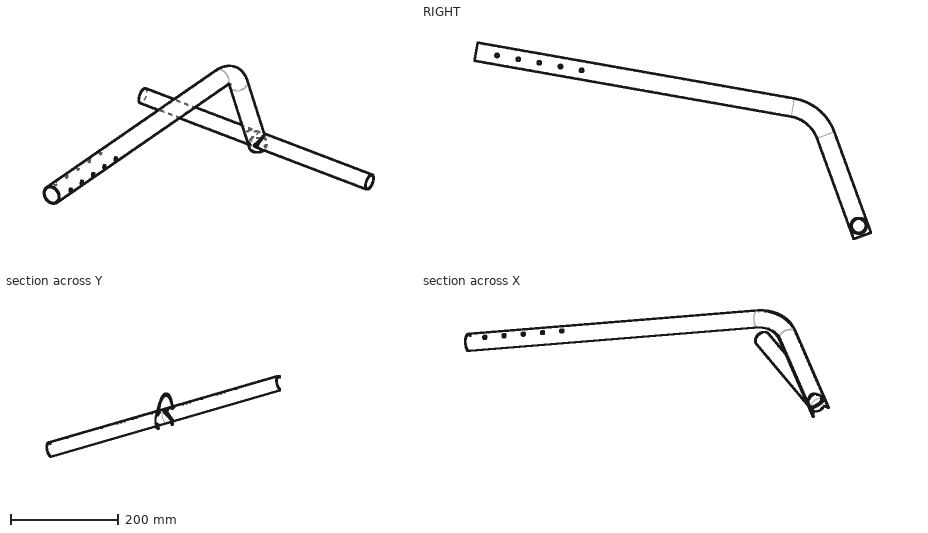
import cadquery as cq
import math

MAIN_DIAMETER = 35.0
MAIN_WALL = 2.0
LEG_LENGTH = 200.0
ARM_LENGTH = 600.0
BEND_RADIUS = 80.0
LEG_ANGLE = 70.0
ARM_ANGLE = 10.0

CROSS_DIAMETER = 30.0
CROSS_WALL = 2.0
CROSS_LENGTH = 500.0
CROSS_FROM_LEG_END = 20.0

HOLE_DIAMETER = 6.0
HOLE_COUNT = 5
HOLE_PITCH = 40.0
FIRST_HOLE_FROM_ARM_END = 40.0


def direction(angle):
    """Unit vector in the YZ plane, heading to -Y and rising by the given angle."""
    return cq.Vector(0, -math.cos(math.radians(angle)), math.sin(math.radians(angle)))


leg_direction = direction(LEG_ANGLE)
arm_direction = direction(ARM_ANGLE)
middle_direction = direction((LEG_ANGLE + ARM_ANGLE) / 2)
half_turn = math.radians(LEG_ANGLE - ARM_ANGLE) / 2
bend_chord = 2 * BEND_RADIUS * math.sin(half_turn)

leg_end = leg_direction * -CROSS_FROM_LEG_END
bend_start = leg_end + leg_direction * LEG_LENGTH
bend_end = bend_start + middle_direction * bend_chord
arm_end = bend_end + arm_direction * ARM_LENGTH


def bent_rod(diameter):
    """Solid round rod that follows the leg, the bend and the arm."""
    path = cq.Workplane(
        cq.Wire.assembleEdges(
            [
                cq.Edge.makeLine(leg_end, bend_start),
                cq.Edge.makeTangentArc(bend_start, leg_direction, bend_end),
                cq.Edge.makeLine(bend_end, arm_end),
            ]
        )
    )
    end_plane = cq.Plane(origin=leg_end, xDir=(1, 0, 0), normal=leg_direction)
    return cq.Workplane(end_plane).circle(diameter / 2).sweep(path)


def cross_tube():
    """Straight hollow tube along X, centred on the origin."""
    outer_radius = CROSS_DIAMETER / 2
    return (
        cq.Workplane("YZ")
        .circle(outer_radius)
        .circle(outer_radius - CROSS_WALL)
        .extrude(CROSS_LENGTH / 2, both=True)
    )


def arm_holes():
    """Row of pins along X, spaced along the arm axis."""
    pins = cq.Workplane("YZ")
    for index in range(HOLE_COUNT):
        distance_from_end = FIRST_HOLE_FROM_ARM_END + index * HOLE_PITCH
        centre = arm_end - arm_direction * distance_from_end
        pin = (
            cq.Workplane("YZ", origin=centre.toTuple())
            .circle(HOLE_DIAMETER / 2)
            .extrude(MAIN_DIAMETER, both=True)
        )
        pins = pins.add(pin)
    return pins.combine()


main_rod = bent_rod(MAIN_DIAMETER)
main_bore = bent_rod(MAIN_DIAMETER - 2 * MAIN_WALL)

main_tube = main_rod.cut(main_bore).cut(arm_holes())
result = main_tube.union(cross_tube())